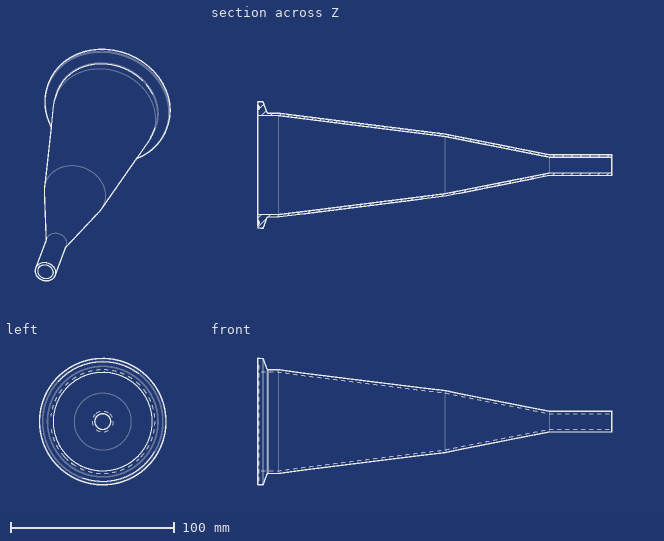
import cadquery as cq
import math

ferrule_end = 12.7
first_cone_end = 114.2
second_cone_end = 178.0
length = 216.0

large_tube_diameter = 63.5
middle_diameter = 38.0
small_tube_diameter = 12.7
wall = 1.62

flange_diameter = 77.3
flange_root_x = 5.8
flange_back_angle = 20
rim_front_round = 0.32
rim_back_round = 0.6
root_fillet = 0.6

groove_diameter = 70.4
groove_width = 2.8
groove_depth = 0.9
groove_lip_round = 0.5

large_tube_radius = large_tube_diameter / 2
rim_radius = flange_diameter / 2
slope_run = (rim_radius - large_tube_radius) * math.tan(math.radians(flange_back_angle))
rim_thickness = flange_root_x - slope_run
groove_radius = groove_diameter / 2
groove_inner_radius = groove_radius - groove_width / 2
groove_outer_radius = groove_radius + groove_width / 2


def revolve_about_x(profile):
    """Turn a closed half profile in the XY plane into a solid around the X axis."""
    return profile.revolve(360, (0, 0, 0), (1, 0, 0))


def circle_edges(x, radius):
    """Selector for the circular edge of the given radius centred on the X axis at x."""
    tolerance = 0.02
    outside = cq.selectors.BoxSelector(
        (x - tolerance, -radius - tolerance, -radius - tolerance),
        (x + tolerance, radius + tolerance, radius + tolerance),
        boundingbox=True,
    )
    inside_radius = radius - tolerance
    inside = cq.selectors.BoxSelector(
        (x - tolerance, -inside_radius, -inside_radius),
        (x + tolerance, inside_radius, inside_radius),
        boundingbox=True,
    )
    return outside - inside


def flange_disc():
    """Solid clamp flange: a straight rim and a conical back."""
    profile = (
        cq.Workplane("XY")
        .lineTo(0, rim_radius)
        .lineTo(rim_thickness, rim_radius)
        .lineTo(flange_root_x, large_tube_radius)
        .lineTo(flange_root_x, 0)
        .close()
    )
    return revolve_about_x(profile)


def reducer_body(inset):
    """Solid of the ferrule, both cones and the small tube, with every radius reduced by inset."""
    large_radius = large_tube_radius - inset
    middle_radius = middle_diameter / 2 - inset
    small_radius = small_tube_diameter / 2 - inset
    profile = (
        cq.Workplane("XY")
        .lineTo(0, large_radius)
        .lineTo(ferrule_end, large_radius)
        .lineTo(first_cone_end, middle_radius)
        .lineTo(second_cone_end, small_radius)
        .lineTo(length, small_radius)
        .lineTo(length, 0)
        .close()
    )
    return revolve_about_x(profile)


def gasket_groove():
    """Ring with an arc-shaped section that is cut into the flange face."""
    profile = (
        cq.Workplane("XY")
        .moveTo(0, groove_inner_radius)
        .threePointArc((groove_depth, groove_radius), (0, groove_outer_radius))
        .close()
    )
    return revolve_about_x(profile)


part = flange_disc().union(reducer_body(0))
part = part.cut(reducer_body(wall)).cut(gasket_groove())

part = part.edges(circle_edges(0, rim_radius)).fillet(rim_front_round)
part = part.edges(circle_edges(rim_thickness, rim_radius)).fillet(rim_back_round)
part = part.edges(circle_edges(flange_root_x, large_tube_radius)).fillet(root_fillet)
for lip_radius in (groove_inner_radius, groove_outer_radius):
    part = part.edges(circle_edges(0, lip_radius)).fillet(groove_lip_round)

result = part